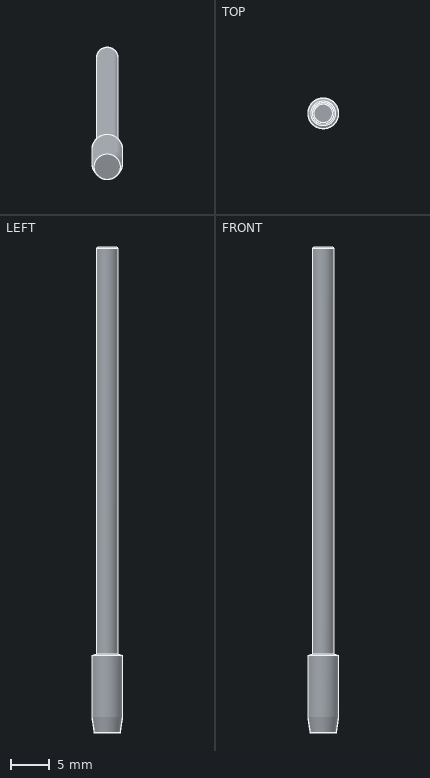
import cadquery as cq

overall_length = 63.0
sleeve_diameter = 4.0
sleeve_length = 10.0
tip_diameter = 3.4
lead_length = 2.0
core_diameter = 3.2
shank_diameter = 2.8
shoulder_height = 0.2
shank_end_chamfer = 0.2

sleeve_radius = sleeve_diameter / 2
tip_radius = tip_diameter / 2
core_radius = core_diameter / 2
shank_radius = shank_diameter / 2

core_bottom = lead_length
shoulder_top = sleeve_length + shoulder_height
chamfer_bottom = overall_length - shank_end_chamfer


def revolve_about_z(outline):
    """Turn a closed outline of (radius, height) points around the Z axis."""
    return cq.Workplane("XZ").polyline(outline).close().revolve(360, (0, 0, 0), (0, 1, 0))


def make_sleeve():
    """Thick lower section: closed conical lead at the tip, blind bore for the shaft core above it."""
    return revolve_about_z([
        (0, 0),
        (tip_radius, 0),
        (sleeve_radius, lead_length),
        (sleeve_radius, sleeve_length),
        (core_radius, sleeve_length),
        (core_radius, core_bottom),
        (0, core_bottom),
    ])


def make_shaft():
    """Core filling the sleeve bore, conical shoulder on the sleeve rim, slim shank with chamfered end."""
    return revolve_about_z([
        (0, core_bottom),
        (core_radius, core_bottom),
        (core_radius, sleeve_length),
        (sleeve_radius, sleeve_length),
        (shank_radius, shoulder_top),
        (shank_radius, chamfer_bottom),
        (shank_radius - shank_end_chamfer, overall_length),
        (0, overall_length),
    ])


sleeve = make_sleeve()
shaft = make_shaft()

result = cq.Compound.makeCompound([sleeve.val(), shaft.val()])